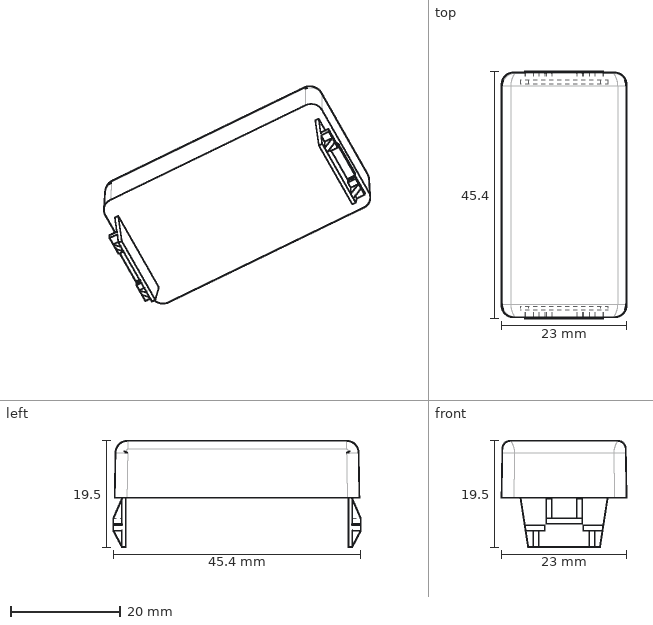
import cadquery as cq

BODY_WIDTH = 22.97
BODY_LENGTH = 44.9
BODY_HEIGHT = 10.5
DRAFT_ANGLE = 1.0
CORNER_RADIUS = 2.25
END_TOP_RADIUS = 2.27
SIDE_TOP_RADIUS = 1.53

OVERALL_LENGTH = 45.4
CLIP_DROP = 9.0
CLIP_TOP_WIDTH = 16.0
CLIP_BOTTOM_WIDTH = 13.2
CLIP_THICKNESS = 0.7
CATCH_DEPTH = 1.6
TIP_Y = OVERALL_LENGTH / 2
PLATE_OUTER_Y = TIP_Y - CATCH_DEPTH

WALL = 1.0

CATCH_WIDTH = 6.6
CATCH_BOTTOM_Z = -4.75
CATCH_LEDGE_Z = CATCH_BOTTOM_Z + WALL
RIB_TOP_Z = -0.1

LEDGE_TOP_Z = -5.0
LEDGE_BOTTOM_Z = LEDGE_TOP_Z - WALL
LEDGE_INNER_X = 3.5
GUSSET_INNER_X = 4.65


def make_body():
    """Drafted block with rounded vertical corners and rounded top edges."""
    block = (
        cq.Workplane("XY")
        .rect(BODY_WIDTH, BODY_LENGTH)
        .extrude(BODY_HEIGHT, taper=DRAFT_ANGLE)
    )
    end_top_edges = block.faces(">Z").edges("|X").vals()
    side_top_edges = block.faces(">Z").edges("|Y").vals()
    corner_edges = block.edges("not(#Z)").vals()

    rounding = cq.occ_impl.shapes.BRepFilletAPI_MakeFillet(block.val().wrapped)
    for edges, radius in (
        (corner_edges, CORNER_RADIUS),
        (end_top_edges, END_TOP_RADIUS),
        (side_top_edges, SIDE_TOP_RADIUS),
    ):
        for edge in edges:
            rounding.Add(radius, edge.wrapped)
    return cq.Workplane(cq.Shape.cast(rounding.Shape()))


def clip_outline(depth):
    """Tapered clip outline, extruded outward (+Y) from the plate's inner face."""
    return (
        cq.Workplane("XZ", origin=(0, PLATE_OUTER_Y - CLIP_THICKNESS, 0))
        .polyline([
            (-CLIP_TOP_WIDTH / 2, 0),
            (CLIP_TOP_WIDTH / 2, 0),
            (CLIP_BOTTOM_WIDTH / 2, -CLIP_DROP),
            (-CLIP_BOTTOM_WIDTH / 2, -CLIP_DROP),
        ])
        .close()
        .extrude(-depth)
    )


def profile_strip(points, x_start, width):
    """Extrude a (Y, Z) profile along +X from x_start."""
    return cq.Workplane("YZ", origin=(x_start, 0, 0)).polyline(points).close().extrude(width)


def ledge(x_start, width, bottom_z):
    """Flat shelf reaching from the plate out to the clip tip."""
    profile = [
        (PLATE_OUTER_Y, bottom_z),
        (TIP_Y, bottom_z),
        (TIP_Y, bottom_z + WALL),
        (PLATE_OUTER_Y, bottom_z + WALL),
    ]
    return profile_strip(profile, x_start, width)


def make_clip():
    """Clip at the +Y end, with its central catch and two outer ledges."""
    rib_profile = [
        (PLATE_OUTER_Y, RIB_TOP_Z),
        (TIP_Y, CATCH_LEDGE_Z),
        (PLATE_OUTER_Y, CATCH_LEDGE_Z),
    ]
    gusset_profile = [
        (PLATE_OUTER_Y, LEDGE_BOTTOM_Z),
        (TIP_Y, LEDGE_BOTTOM_Z),
        (PLATE_OUTER_Y, -CLIP_DROP),
    ]
    ledge_width = CLIP_TOP_WIDTH / 2 - LEDGE_INNER_X

    clip = clip_outline(CLIP_THICKNESS)
    clip = clip.union(ledge(-CATCH_WIDTH / 2, CATCH_WIDTH, CATCH_BOTTOM_Z))
    for side in (-1, 1):
        rib_inner_x = CATCH_WIDTH / 2 - WALL
        clip = clip.union(profile_strip(rib_profile, side * rib_inner_x, side * WALL))
        clip = clip.union(ledge(side * LEDGE_INNER_X, side * ledge_width, LEDGE_BOTTOM_Z))
        clip = clip.union(profile_strip(gusset_profile, side * GUSSET_INNER_X, side * WALL))

    return clip.intersect(clip_outline(CLIP_THICKNESS + CATCH_DEPTH))


clip = make_clip()
result = make_body().union(clip).union(clip.mirror("XZ"))